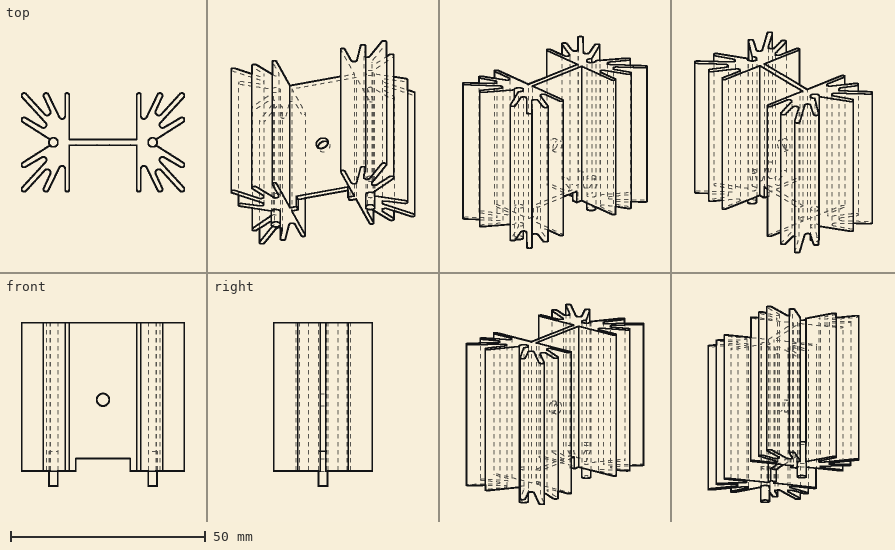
import cadquery as cq
import math

HALF_X = 20.95
HALF_Y = 12.7
SINK_HEIGHT = 38.2
TOTAL_HEIGHT = 42.05

WEB_THICKNESS = 1.55
WEB_HALF_LENGTH = 8.65
WEB_HOLE_DIAMETER = 3.15
WEB_HOLE_Z = 18.35
NOTCH_WIDTH = 13.9
NOTCH_HEIGHT = 3.2

PIN_DIAMETER = 2.35
PIN_X = 12.75
PIN_PROTRUSION = TOTAL_HEIGHT - SINK_HEIGHT
PIN_INSERTION = 5.15
THROAT_WIDTH = 1.5

STRAIGHT_FIN_THICKNESS = 1.1
STRAIGHT_TIP_RADIUS = STRAIGHT_FIN_THICKNESS / 2
TIP_RADIUS = 0.67
MIDDLE_TIP_X = 14.65
SIDE_TIP_Y = 5.75
INNER_ROOT_RADIUS = 0.75
INNER_ROOT_Y = 6.8
MIDDLE_ROOT_RADIUS = 0.85
MIDDLE_ROOT = (14.35, 7.8)
OUTER_ROOT_RADIUS = 0.75
OUTER_ROOT = (15.3, 4.5)

THROAT_X = PIN_X + math.sqrt((PIN_DIAMETER / 2) ** 2 - (THROAT_WIDTH / 2) ** 2)

FIN_ROUNDS = [
    (WEB_HALF_LENGTH, WEB_THICKNESS / 2, 0),
    (WEB_HALF_LENGTH + STRAIGHT_TIP_RADIUS, HALF_Y - STRAIGHT_TIP_RADIUS, STRAIGHT_TIP_RADIUS),
    (WEB_HALF_LENGTH + STRAIGHT_FIN_THICKNESS + INNER_ROOT_RADIUS, INNER_ROOT_Y, -INNER_ROOT_RADIUS),
    (MIDDLE_TIP_X, HALF_Y - TIP_RADIUS, TIP_RADIUS),
    (*MIDDLE_ROOT, -MIDDLE_ROOT_RADIUS),
    (HALF_X - TIP_RADIUS, HALF_Y - TIP_RADIUS, TIP_RADIUS),
    (*OUTER_ROOT, -OUTER_ROOT_RADIUS),
    (HALF_X - TIP_RADIUS, SIDE_TIP_Y, TIP_RADIUS),
    (THROAT_X, THROAT_WIDTH / 2, 0),
]


def tangent(first, second):
    """Return the start, end and direction of the line tangent to two successive rounds."""
    x1, y1, r1 = first
    x2, y2, r2 = second
    dx = x2 - x1
    dy = y2 - y1
    angle = math.atan2(dy, dx) + math.asin((r2 - r1) / math.hypot(dx, dy))
    ux = math.cos(angle)
    uy = math.sin(angle)
    start = (x1 - r1 * uy, y1 + r1 * ux)
    end = (x2 - r2 * uy, y2 + r2 * ux)
    return start, end, (ux, uy)


def arc_middle(fin_round, arriving, leaving):
    """Return the middle of the arc between the arriving and leaving directions."""
    x, y, radius = fin_round
    dx = arriving[0] - leaving[0]
    dy = arriving[1] - leaving[1]
    reach = abs(radius) / math.hypot(dx, dy)
    return x + reach * dx, y + reach * dy


def quarter_sink():
    """Extrude the +X +Y quarter of the finned profile."""
    sides = [tangent(a, b) for a, b in zip(FIN_ROUNDS, FIN_ROUNDS[1:])]
    outline = cq.Workplane("XY").lineTo(0, WEB_THICKNESS / 2).lineTo(*sides[0][0]).lineTo(*sides[0][1])
    for fin_round, side, next_side in zip(FIN_ROUNDS[1:], sides, sides[1:]):
        middle = arc_middle(fin_round, side[2], next_side[2])
        outline = outline.threePointArc(middle, next_side[0]).lineTo(*next_side[1])
    return outline.lineTo(THROAT_X, 0).close().extrude(SINK_HEIGHT)


def make_heat_sink():
    quarter = quarter_sink()
    half = quarter.union(quarter.mirror("XZ"))
    sink = half.union(half.mirror("YZ")).clean()

    bores = cq.Workplane("XY").pushPoints([(-PIN_X, 0), (PIN_X, 0)]).circle(PIN_DIAMETER / 2)
    sink = sink.cut(bores.extrude(SINK_HEIGHT))

    hole = cq.Workplane("XZ").center(0, WEB_HOLE_Z).circle(WEB_HOLE_DIAMETER / 2)
    sink = sink.cut(hole.extrude(WEB_THICKNESS, both=True))

    notch = cq.Workplane("XY").rect(NOTCH_WIDTH, 2 * WEB_THICKNESS).extrude(NOTCH_HEIGHT)
    return sink.cut(notch)


def make_pin(x):
    base = cq.Workplane("XY", origin=(x, 0, -PIN_PROTRUSION))
    return base.circle(PIN_DIAMETER / 2).extrude(PIN_PROTRUSION + PIN_INSERTION)


heat_sink = make_heat_sink()
pins = [make_pin(side * PIN_X) for side in (-1, 1)]

result = cq.Compound.makeCompound([heat_sink.solids().val(), *[pin.val() for pin in pins]])